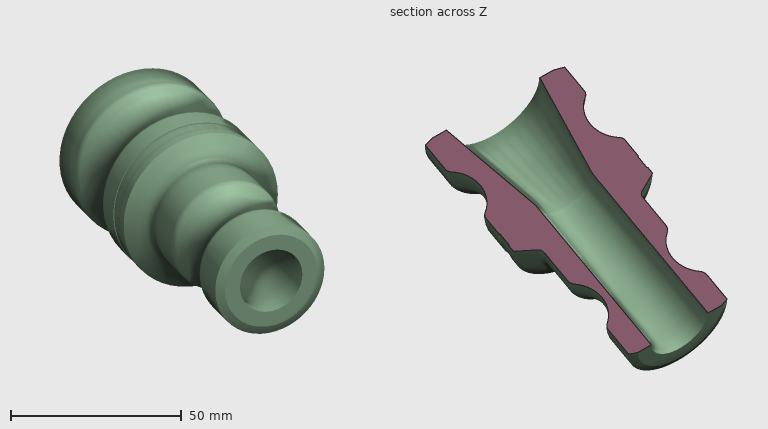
import cadquery as cq
import math

length = 97.0
large_radius = 49.5 / 2
small_radius = 35.0 / 2

end_chamfer_length = 1.0
large_end_chamfer_depth = 3.3
small_end_chamfer_depth = 2.7

waist_arc_radius = 11.0
large_waist_x = 21.9
large_waist_depth = 5.2
large_lip_radius = 2.3
small_waist_x = 74.9
small_waist_depth = 4.9
small_lip_radius = 2.9

band_start = 39.5
band_length = 4.7
band_radius = 49.0 / 2

shoulder_start = 46.8
shoulder_angle = math.radians(60)
shoulder_fillet = 2.1

bore_entry_radius = 33.0 / 2
bore_exit_radius = 20.0 / 2
bore_taper_length = 36.9


def add_waist(profile, center_x, body_radius, depth, lip_radius):
    """Extend the outline through a concave arc with tangent rounded lips."""
    arc_center_r = body_radius - depth + waist_arc_radius
    lip_center_r = body_radius - lip_radius
    center_distance = waist_arc_radius + lip_radius
    lip_offset = math.sqrt(center_distance**2 - (arc_center_r - lip_center_r) ** 2)
    join_angle = math.asin((arc_center_r - lip_center_r) / center_distance)
    joint_offset = waist_arc_radius * math.cos(join_angle)
    joint_r = arc_center_r - waist_arc_radius * math.sin(join_angle)
    lip_mid_angle = (join_angle + math.pi / 2) / 2
    lip_mid_offset = lip_offset - lip_radius * math.cos(lip_mid_angle)
    lip_mid_r = lip_center_r + lip_radius * math.sin(lip_mid_angle)
    return (
        profile.lineTo(center_x - lip_offset, body_radius)
        .threePointArc((center_x - lip_mid_offset, lip_mid_r), (center_x - joint_offset, joint_r))
        .threePointArc((center_x, body_radius - depth), (center_x + joint_offset, joint_r))
        .threePointArc((center_x + lip_mid_offset, lip_mid_r), (center_x + lip_offset, body_radius))
    )


def add_band(profile):
    """Extend the outline through the shallow rectangular band."""
    band_end = band_start + band_length
    return (
        profile.lineTo(band_start, large_radius)
        .lineTo(band_start, band_radius)
        .lineTo(band_end, band_radius)
        .lineTo(band_end, large_radius)
    )


def add_shoulder(profile):
    """Extend the outline down the cone and its root fillet to the small body."""
    corner_x = shoulder_start + (large_radius - small_radius) / math.tan(shoulder_angle)
    fillet_end_x = corner_x + shoulder_fillet * math.tan(shoulder_angle / 2)
    fillet_center_r = small_radius + shoulder_fillet

    def fillet_point(angle):
        return (
            fillet_end_x - shoulder_fillet * math.sin(angle),
            fillet_center_r - shoulder_fillet * math.cos(angle),
        )

    return (
        profile.lineTo(shoulder_start, large_radius)
        .lineTo(*fillet_point(shoulder_angle))
        .threePointArc(fillet_point(shoulder_angle / 2), fillet_point(0))
    )


section = (
    cq.Workplane("XY")
    .moveTo(0, bore_entry_radius)
    .lineTo(0, large_radius - large_end_chamfer_depth)
    .lineTo(end_chamfer_length, large_radius)
)
section = add_waist(section, large_waist_x, large_radius, large_waist_depth, large_lip_radius)
section = add_band(section)
section = add_shoulder(section)
section = add_waist(section, small_waist_x, small_radius, small_waist_depth, small_lip_radius)
section = (
    section.lineTo(length - end_chamfer_length, small_radius)
    .lineTo(length, small_radius - small_end_chamfer_depth)
    .lineTo(length, bore_exit_radius)
    .lineTo(bore_taper_length, bore_exit_radius)
    .close()
)

result = section.revolve(360, (0, 0, 0), (1, 0, 0))